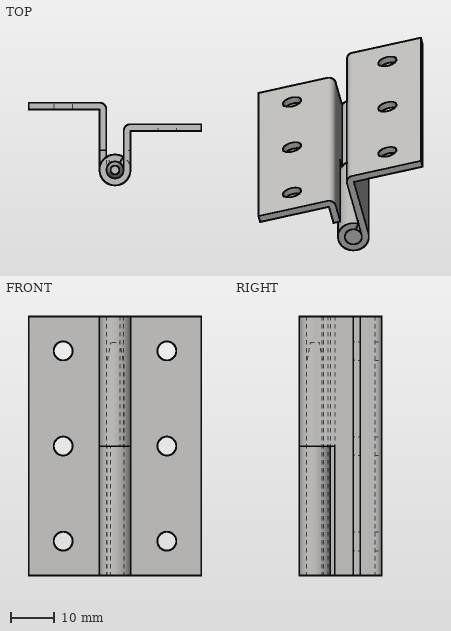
import cadquery as cq
import math

leaf_height = 60.0
hinge_width = 40.0
half_height = leaf_height / 2
half_width = hinge_width / 2

sheet_thickness = 1.6
knuckle_radius = 3.6
bore_radius = knuckle_radius - sheet_thickness
curl_end_angle = math.radians(58)

left_flange_y = 15.6
right_flange_y = 10.6

notch_y = 4.6

hole_diameter = 4.3
hole_x = 12.0
hole_pitch = 22.0

pin_tip_radius = 1.0
pin_tip_length = 5.0
pin_end_recess = 6.0


def polar(radius, angle):
    return radius * math.cos(angle), radius * math.sin(angle)


def leaf_blank(flange_y):
    """Full-height bent sheet: flange, leg and curled knuckle, with the flange toward +X."""
    middle_angle = (curl_end_angle - math.pi * 2) / 2
    bend_radius = sheet_thickness
    bend_offset = bend_radius * (1 - math.sqrt(0.5))
    return (
        cq.Workplane("XY", origin=(0, 0, -half_height))
        .moveTo(half_width, flange_y)
        .lineTo(bore_radius + bend_radius, flange_y)
        .threePointArc(
            (bore_radius + bend_offset, flange_y - bend_offset),
            (bore_radius, flange_y - bend_radius),
        )
        .lineTo(bore_radius, 0)
        .threePointArc(polar(bore_radius, middle_angle), polar(bore_radius, curl_end_angle))
        .lineTo(*polar(knuckle_radius, curl_end_angle))
        .threePointArc(polar(knuckle_radius, middle_angle), (knuckle_radius, 0))
        .lineTo(knuckle_radius, flange_y - sheet_thickness)
        .lineTo(half_width, flange_y - sheet_thickness)
        .close()
        .extrude(leaf_height)
    )


def knuckle_notch():
    """Removes the lower knuckle and the end of the leg beside it."""
    return (
        cq.Workplane("XY")
        .box(2 * knuckle_radius, notch_y + knuckle_radius, half_height, centered=(True, False, False))
        .translate((0, -knuckle_radius, -half_height))
    )


def screw_holes(flange_y):
    return (
        cq.Workplane("XZ", origin=(0, flange_y, 0))
        .pushPoints([(hole_x, row * hole_pitch) for row in (-1, 0, 1)])
        .circle(hole_diameter / 2)
        .extrude(sheet_thickness)
    )


def make_leaf(flange_y):
    """Leaf with its flange toward +X and its knuckle in the upper half."""
    return leaf_blank(flange_y).cut(knuckle_notch()).cut(screw_holes(flange_y))


def make_pin():
    """Pin filling both bores from the bottom face, with a steeply tapered tip."""
    tip_z = half_height - pin_end_recess
    return (
        cq.Workplane("XZ")
        .moveTo(0, -half_height)
        .lineTo(bore_radius, -half_height)
        .lineTo(bore_radius, tip_z - pin_tip_length)
        .lineTo(pin_tip_radius, tip_z)
        .lineTo(0, tip_z)
        .close()
        .revolve(360, (0, 0, 0), (0, 1, 0))
    )


right_leaf = make_leaf(right_flange_y)
left_leaf = make_leaf(left_flange_y).rotate((0, 0, 0), (0, 1, 0), 180)
pin = make_pin()

result = cq.Compound.makeCompound([left_leaf.val(), right_leaf.val(), pin.val()])